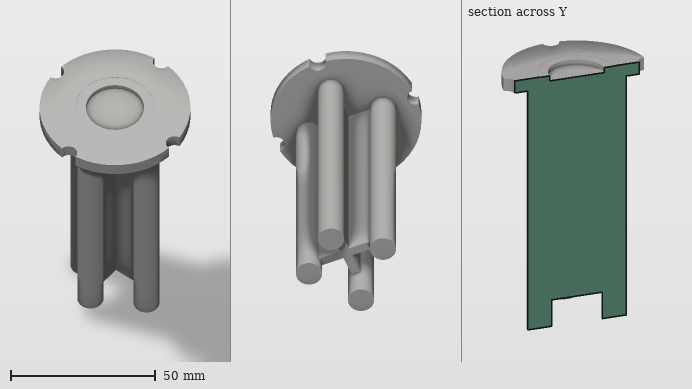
import cadquery as cq

total_height = 95.0
flange_diameter = 52.1
flange_thickness = 4.75

recess_diameter = 20.0
recess_depth = 2.0
ring_diameter = 27.2
ring_depth = 0.1

notch_diameter = 6.0
notch_count = 4

leg_diameter = 9.0
leg_offset = 13.8
long_leg_length = total_height - flange_thickness
short_leg_length = long_leg_length - 5.0

web_thickness = 3.0
web_height = long_leg_length - 10.0


def make_flange():
    """Disc with its top face at Z = 0, notched at the four axis points."""
    flange = cq.Workplane("XY").circle(flange_diameter / 2).extrude(-flange_thickness)
    notches = (
        cq.Workplane("XY")
        .polarArray(flange_diameter / 2, 0, 360, notch_count)
        .circle(notch_diameter / 2)
        .extrude(-flange_thickness)
    )
    ring = cq.Workplane("XY").circle(ring_diameter / 2).extrude(-ring_depth)
    recess = cq.Workplane("XY").circle(recess_diameter / 2).extrude(-recess_depth)
    return flange.cut(notches).cut(ring).cut(recess)


def make_leg_pair(positions, length):
    """Two round legs hanging from the underside of the flange."""
    return (
        cq.Workplane("XY", origin=(0, 0, -flange_thickness))
        .pushPoints(positions)
        .circle(leg_diameter / 2)
        .extrude(-length)
    )


def make_webs():
    """Two thin vertical plates crossing on the Z axis."""
    span = 2 * leg_offset
    underside = cq.Workplane("XY", origin=(0, 0, -flange_thickness))
    web_x = underside.rect(span, web_thickness).extrude(-web_height)
    web_y = underside.rect(web_thickness, span).extrude(-web_height)
    return web_x.union(web_y)


long_legs = make_leg_pair([(-leg_offset, 0), (leg_offset, 0)], long_leg_length)
short_legs = make_leg_pair([(0, -leg_offset), (0, leg_offset)], short_leg_length)
result = make_flange().union(long_legs).union(short_legs).union(make_webs())